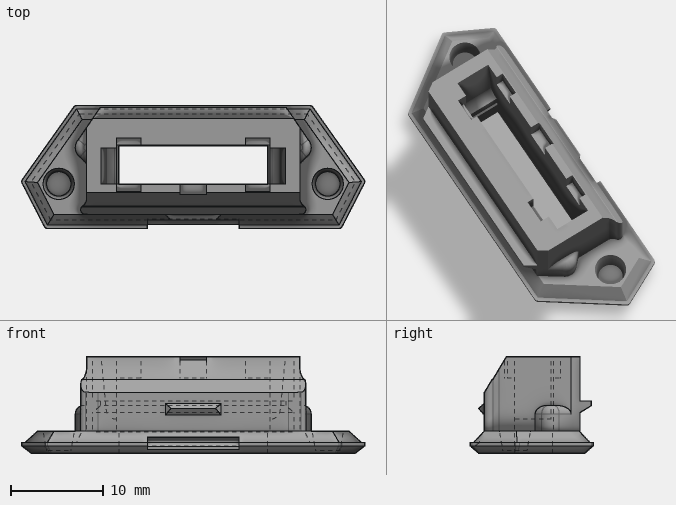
import cadquery as cq

flange_depth = 13.35
lip_reach = 1.53
slope_reach = 1.15
crest_tip_x = 16.9
crest_tip_y = -1.68
crest_y = flange_depth / 2 - lip_reach
crest_back_x = 12.05
crest_front_x = 15.1
crest_z = 2.42
lip_top_z = 1.2
lip_edge_z = 0.82
lip_round = 0.4
underside_round = 0.2
underside_reach = 0.6

top_z = 10.5
body_x = 11.58
body_front_y = -crest_y
body_back_y = 5.25
lobe_x = 12.2
lobe_start_y = -3.55
lobe_hollow = (11.7, -3.87)
lobe_neck = (12.0, -4.2)
lobe_side_y = -4.55
lobe_front_x = 11.7
front_flat_x = 10.3
front_sag = 0.05
corner_start_y = 4.3
corner_run = 0.68
slope_top_y = -2.75
slope_step_z = 8.0
slope_step_back_y = -4.25
slope_step_front_y = -4.32
slope_bottom_z = 6.6

hook_y = 6.48
hook_top_z = 5.7
hook_lip_z = 5.17
hook_bottom_z = 4.43

snap_x = 3.0
snap_ridge_x = 2.42
snap_ridge_y = -5.77
snap_bottom_z = 4.17
snap_ridge_z = 4.88
snap_top_z = 5.45

knob_top_z = 5.2
knob_round = 0.93
knob_back_y = 2.98
knob_outer = (12.8, 2.15)
knob_front = (12.3, 1.08)
knob_end_y = 0.37

window_x = 8.3
window_front_y = -1.85
window_back_y = 2.4
throat_x = 8.08
throat_back_y = 2.27
notch_inner_x = 5.65
notch_front_y = -2.65
notch_back_y = 3.13
notch_floor_z = 8.2
center_notch_x = 1.4
center_notch_y = -2.98
pocket_top_x = 10.0
pocket_bend_x = 9.42
pocket_bend_z = 4.55
pocket_floor_x = 8.53
pocket_floor_z = 3.72
pocket_round = 1.1
pocket_back_y = 2.1
hole_x = 14.6
hole_y = -1.82
hole_diameter = 3.4
hole_floor_diameter = 2.65
hole_depth = 2.12
slot_x = 5.0
slot_top_z = 1.85
slot_brow_z = 1.68
slot_groove_top_z = 1.45
slot_groove_bottom_z = 1.2
slot_bead_z = 0.75
slot_bottom_z = 0.4
slot_brow_y = -5.77
slot_groove_y = -5.65
slot_bead_y = -6.25

outside_y = 9.3
pocket_start_x = 7.45


def box(x0, x1, y0, y1, z0, z1):
    return cq.Workplane("XY").box(x1 - x0, y1 - y0, z1 - z0, centered=False).translate((x0, y0, z0))


def both_sides(solid):
    return solid.union(solid.mirror("YZ"))


def hexagon(z, reach):
    """Crest hexagon at height z, grown outward by reach with sharp corners."""
    points = [
        (crest_tip_x, crest_tip_y),
        (crest_back_x, crest_y),
        (-crest_back_x, crest_y),
        (-crest_tip_x, crest_tip_y),
        (-crest_front_x, -crest_y),
        (crest_front_x, -crest_y),
    ]
    outline = cq.Workplane("XY", origin=(0, 0, z)).polyline(points).close()
    return outline.offset2D(reach, "intersection") if reach else outline


def rounded_hexagon(z, reach, corner_round):
    return hexagon(z, reach - corner_round).offset2D(corner_round, "arc")


def loft(lower, upper):
    return cq.Workplane(cq.Solid.makeLoft([lower.wires().val(), upper.wires().val()], True))


def flange():
    underside = loft(
        rounded_hexagon(0, underside_reach, underside_round),
        rounded_hexagon(lip_edge_z, lip_reach, lip_round),
    )
    lip = rounded_hexagon(lip_edge_z, lip_reach, lip_round).extrude(lip_top_z - lip_edge_z)
    upper = loft(hexagon(lip_top_z, slope_reach), hexagon(crest_z, 0))
    return underside.union(lip).union(upper)


def corner_x(y):
    """X of the slanted back corner at a given Y."""
    return body_x - corner_run * (y - corner_start_y)


def housing():
    half = (
        cq.Workplane("XY", origin=(0, 0, lip_top_z))
        .moveTo(0, body_back_y)
        .lineTo(corner_x(body_back_y), body_back_y)
        .lineTo(body_x, corner_start_y)
        .lineTo(body_x, lobe_start_y)
        .threePointArc(lobe_hollow, lobe_neck)
        .threePointArc((lobe_x, lobe_side_y), (lobe_front_x, body_front_y + front_sag))
        .lineTo(front_flat_x, body_front_y)
        .lineTo(0, body_front_y)
        .close()
        .extrude(top_z - lip_top_z)
    )
    front_slope = (
        cq.Workplane("YZ")
        .polyline([
            (slope_top_y, top_z),
            (slope_step_back_y, slope_step_z),
            (slope_step_front_y, slope_step_z),
            (body_front_y, slope_bottom_z),
            (-outside_y, slope_bottom_z),
            (-outside_y, top_z),
        ])
        .close()
        .extrude(2 * lobe_x, both=True)
    )
    return both_sides(half).cut(front_slope)


def hook():
    profile = [
        (0, hook_top_z),
        (hook_y, hook_top_z),
        (hook_y, hook_lip_z),
        (body_back_y, hook_bottom_z),
        (0, hook_bottom_z),
    ]
    bar = cq.Workplane("YZ").polyline(profile).close().extrude(body_x, both=True)
    root_x = corner_x(corner_start_y)
    end_x = corner_x(hook_y)
    plan = [(root_x, corner_start_y), (end_x, hook_y), (-end_x, hook_y), (-root_x, corner_start_y)]
    return bar.intersect(cq.Workplane("XY").polyline(plan).close().extrude(top_z))


def snap_ridge():
    profile = [
        (body_front_y, snap_bottom_z),
        (snap_ridge_y, snap_ridge_z),
        (body_front_y, snap_top_z),
    ]
    plan = [
        (-snap_x, body_front_y),
        (-snap_ridge_x, snap_ridge_y),
        (snap_ridge_x, snap_ridge_y),
        (snap_x, body_front_y),
    ]
    bar = cq.Workplane("YZ").polyline(profile).close().extrude(snap_x, both=True)
    return bar.intersect(cq.Workplane("XY").polyline(plan).close().extrude(top_z))


def knobs():
    inner_x = body_x - knob_round
    knob = (
        cq.Workplane("XY", origin=(0, 0, lip_top_z))
        .moveTo(inner_x, corner_start_y)
        .lineTo(body_x, corner_start_y)
        .lineTo(corner_x(knob_back_y), knob_back_y)
        .threePointArc(knob_outer, knob_front)
        .lineTo(body_x, knob_end_y)
        .lineTo(inner_x, knob_end_y)
        .close()
        .extrude(knob_top_z - lip_top_z)
    )
    outer_side = cq.selectors.BoxSelector((body_x, 0, 0), (2 * body_x, outside_y, top_z))
    return both_sides(knob.faces(">Z").edges(outer_side).fillet(knob_round))


def window():
    upper = box(-window_x, window_x, window_front_y, window_back_y, crest_z, top_z)
    throat = box(-throat_x, throat_x, window_front_y, throat_back_y, 0, crest_z)
    corner_notch = box(notch_inner_x, window_x, notch_front_y, notch_back_y, notch_floor_z, top_z)
    center_notch = box(-center_notch_x, center_notch_x, center_notch_y, 0, notch_floor_z, top_z)
    return upper.union(throat).union(both_sides(corner_notch)).union(center_notch)


def end_pockets():
    pocket = (
        cq.Workplane("XZ", origin=(0, pocket_back_y, 0))
        .moveTo(pocket_start_x, top_z)
        .lineTo(pocket_top_x, top_z)
        .lineTo(pocket_bend_x, pocket_bend_z)
        .radiusArc((pocket_floor_x, pocket_floor_z), pocket_round)
        .lineTo(pocket_start_x, pocket_floor_z)
        .close()
        .extrude(pocket_back_y - window_front_y)
    )
    return both_sides(pocket)


def screw_holes():
    hole = (
        cq.Workplane("XY", origin=(hole_x, hole_y, crest_z - hole_depth))
        .circle(hole_floor_diameter / 2)
        .workplane(offset=hole_depth)
        .circle(hole_diameter / 2)
        .loft()
    )
    return both_sides(hole)


def front_slot():
    profile = [
        (-outside_y, slot_top_z),
        (slot_brow_y, slot_top_z),
        (slot_brow_y, slot_brow_z),
        (slot_groove_y, slot_groove_top_z),
        (slot_groove_y, slot_groove_bottom_z),
        (slot_bead_y, slot_bead_z),
        (slot_bead_y, slot_bottom_z),
        (-outside_y, slot_bottom_z),
    ]
    return cq.Workplane("YZ").polyline(profile).close().extrude(slot_x, both=True)


result = flange()
for added in (housing(), hook(), snap_ridge(), knobs()):
    result = result.union(added)
for removed in (window(), end_pockets(), screw_holes(), front_slot()):
    result = result.cut(removed)
result = cq.Workplane(result.solids().val())